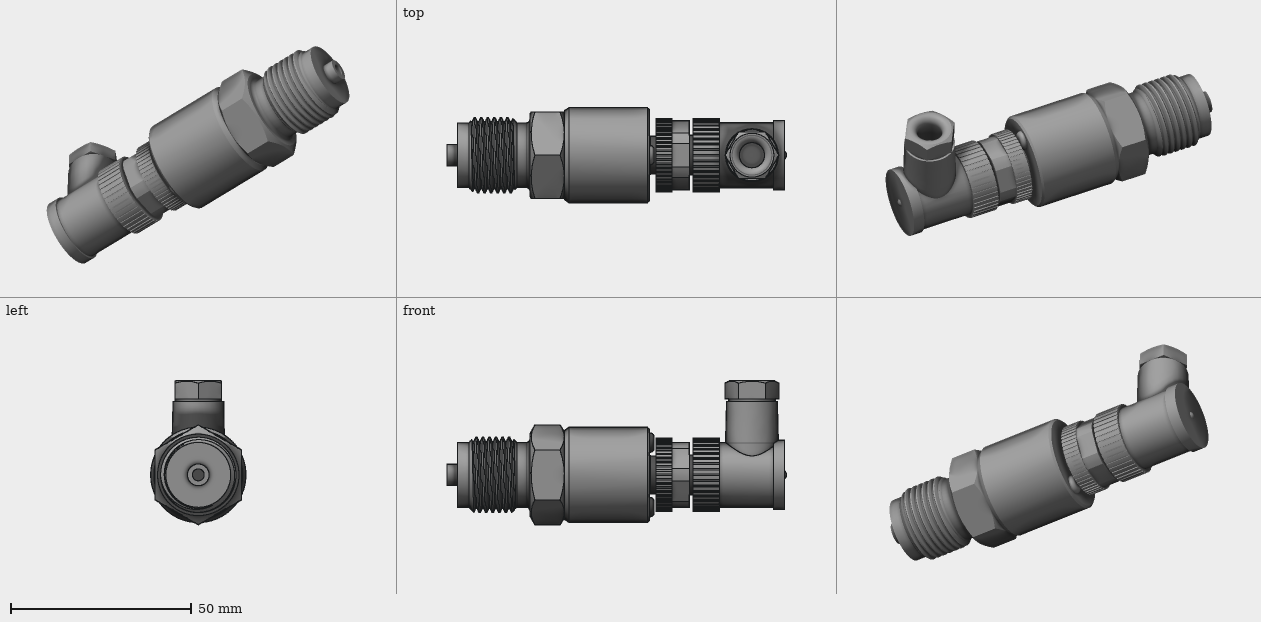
import cadquery as cq
import math


tip_diameter = 6.0
tip_length = 2.9
bore_diameter = 3.3
bore_depth = 11.3
shank_diameter = 18.0
thread_start = 6.1
thread_end = 19.4
thread_core_diameter = 18.7
thread_diameter = 20.9
thread_lead_in = 1.4
thread_pitch = 1.8145
thread_root_width = 1.5
thread_tip_width = 0.3
thread_ridge_overlap = 0.1
thread_ridge_start = 5.5
hex_start = 23.0
hex_end = 32.6
hex_flats = 24.0
hex_left_face_diameter = 22.6
hex_left_chamfer = 1.4
hex_right_face_diameter = 23.9
hex_right_chamfer = 1.2
shank_fillet = 0.9

can_diameter = 26.5
can_end = 56.2
can_front_diameter = 24.7
can_front_chamfer = 1.3
can_rear_chamfer = 0.6
screw_diameter = 5.4
screw_height = 1.3
screw_fillet = 1.1
screw_offset = 9.0
stub_diameter = 10.6
collar_diameter = 10.7
collar_length = 0.3

ring_start = 58.0
knurl_diameter = 20.4
ring_knurl_length = 4.5
ring_knurl_count = 52
knurl_slot_depth = 0.3
knurl_slot_width = 0.5
ring_hex_flats = 18.1
ring_hex_corner_diameter = 19.2
ring_end = 67.3

neck_diameter = 11.1
grip_start = 68.2
grip_end = 75.6
grip_knurl_count = 40
elbow_diameter = 18.1
cap_start = 90.6
cap_end = 93.7
cap_diameter = 19.3
pip_diameter = 2.2
overall_length = 94.3
outlet_x = 84.6
outlet_taper_base = 8.9
outlet_top = 20.4
outlet_base_diameter = 14.7
outlet_top_diameter = 14.1
gland_neck_diameter = 13.0
gland_start = 21.1
gland_top = 26.2
gland_flats = 13.0
gland_face_diameter = 12.2
gland_chamfer = 0.8
cable_hole_diameter = 7.0
cable_hole_depth = 8.5
cable_mouth_diameter = 11.0


def disc_x(start, end, diameter):
    """Cylinder on the main axis from x = start to x = end."""
    return cq.Workplane("YZ", origin=(start, 0, 0)).circle(diameter / 2).extrude(end - start)


def disc_z(start, end, diameter):
    """Cylinder on the outlet axis from z = start to z = end."""
    return cq.Workplane("XY", origin=(outlet_x, 0, start)).circle(diameter / 2).extrude(end - start)


def turned(*profile):
    """Solid of revolution about the main axis through (x, radius) points."""
    points = [(profile[0][0], 0), *profile, (profile[-1][0], 0)]
    return cq.Workplane("XY").polyline(points).close().revolve(360, (0, 0), (1, 0))


def hexagon_corners(flats):
    return flats / math.cos(math.pi / 6)


def make_thread():
    """Right-handed helical ridge on a core, both trimmed to a cylinder with tapered ends."""
    core_radius = thread_core_diameter / 2
    crest_radius = thread_diameter / 2
    envelope = turned(
        (thread_start, shank_diameter / 2),
        (thread_start + thread_lead_in, crest_radius),
        (thread_end - thread_lead_in, crest_radius),
        (thread_end, shank_diameter / 2),
    )
    turns = math.ceil((thread_end - thread_ridge_start) / thread_pitch)
    path = cq.Wire.makeHelix(thread_pitch, turns * thread_pitch, core_radius)
    root_radius = core_radius - thread_ridge_overlap
    tip_radius = crest_radius + thread_ridge_overlap
    ridge = (
        cq.Workplane("XZ")
        .polyline([
            (root_radius, -thread_root_width / 2),
            (tip_radius, -thread_tip_width / 2),
            (tip_radius, thread_tip_width / 2),
            (root_radius, thread_root_width / 2),
        ])
        .close()
        .sweep(cq.Workplane(obj=path), isFrenet=True)
        .rotate((0, 0, 0), (0, 1, 0), 90)
        .translate((thread_ridge_start, 0, 0))
    )
    core = disc_x(thread_start, thread_end, thread_core_diameter).intersect(envelope)
    return core.union(ridge.intersect(envelope))


def make_wrench_hex():
    """Hexagon with corners up and down, both ends turned to cones."""
    length = hex_end - hex_start
    corners = hexagon_corners(hex_flats)
    prism = cq.Workplane("YZ", origin=(hex_start, 0, 0)).transformed(rotate=(0, 0, 90))
    prism = prism.polygon(6, corners).extrude(length)
    cones = turned(
        (hex_start, hex_left_face_diameter / 2),
        (hex_start + hex_left_chamfer, corners / 2),
        (hex_end - hex_right_chamfer, corners / 2),
        (hex_end, hex_right_face_diameter / 2),
    )
    return prism.intersect(cones)


def make_shank_fillet():
    """Concave fillet between the shank and the hexagon face."""
    shank_radius = shank_diameter / 2
    middle = shank_fillet * math.sqrt(0.5)
    return (
        cq.Workplane("XY")
        .moveTo(hex_start - shank_fillet, 0)
        .lineTo(hex_start - shank_fillet, shank_radius)
        .threePointArc(
            (hex_start - shank_fillet + middle, shank_radius + shank_fillet - middle),
            (hex_start, shank_radius + shank_fillet),
        )
        .lineTo(hex_start, 0)
        .close()
        .revolve(360, (0, 0), (1, 0))
    )


def make_screw_head(z):
    head = cq.Workplane("YZ", origin=(can_end, 0, z)).circle(screw_diameter / 2).extrude(screw_height)
    return head.faces(">X").edges().fillet(screw_fillet)


def make_transmitter():
    """Threaded fitting, wrench hexagon, sensor can and its connector stub."""
    can_radius = can_diameter / 2
    can = turned(
        (hex_end, can_front_diameter / 2),
        (hex_end + can_front_chamfer, can_radius),
        (can_end - can_rear_chamfer, can_radius),
        (can_end, can_radius - can_rear_chamfer),
    )
    body = (
        make_thread()
        .union(disc_x(0, tip_length, tip_diameter))
        .union(disc_x(tip_length, thread_start, shank_diameter))
        .union(disc_x(thread_end, hex_start, shank_diameter))
        .union(make_shank_fillet())
        .union(make_wrench_hex())
        .union(can)
        .union(disc_x(can_end, can_end + collar_length, collar_diameter))
        .union(disc_x(can_end, ring_start, stub_diameter))
    )
    for z in (screw_offset, -screw_offset):
        body = body.union(make_screw_head(z))
    return body.cut(disc_x(0, bore_depth, bore_diameter))


def knurled_disc(start, end, count):
    """Disc with evenly spaced lengthwise slots in its rim, one of them pointing up."""
    length = end - start
    slots = (
        cq.Workplane("YZ", origin=(start, 0, 0))
        .polarArray(knurl_diameter / 2, 90, 360, count)
        .rect(2 * knurl_slot_depth, knurl_slot_width)
        .extrude(length)
    )
    return disc_x(start, end, knurl_diameter).cut(slots)


def make_coupling_ring():
    """Knurled ring followed by a rounded hexagon."""
    knurl_end = ring_start + ring_knurl_length
    nut = (
        cq.Workplane("YZ", origin=(knurl_end, 0, 0))
        .polygon(6, hexagon_corners(ring_hex_flats))
        .extrude(ring_end - knurl_end)
        .intersect(disc_x(knurl_end, ring_end, ring_hex_corner_diameter))
    )
    return knurled_disc(ring_start, knurl_end, ring_knurl_count).union(nut)


def make_outlet():
    """Vertical outlet: straight foot inside the elbow, then a slight taper."""
    foot = disc_z(0, outlet_taper_base, outlet_base_diameter)
    taper = (
        cq.Workplane("XY", origin=(outlet_x, 0, outlet_taper_base))
        .circle(outlet_base_diameter / 2)
        .workplane(offset=outlet_top - outlet_taper_base)
        .circle(outlet_top_diameter / 2)
        .loft()
    )
    return foot.union(taper).union(disc_z(outlet_top, gland_start, gland_neck_diameter))


def make_gland_nut():
    """Hexagon with corners toward +X and -X, its top edge turned to a cone."""
    corners = hexagon_corners(gland_flats)
    prism = cq.Workplane("XY", origin=(outlet_x, 0, gland_start)).polygon(6, corners)
    prism = prism.extrude(gland_top - gland_start)
    blank = disc_z(gland_start, gland_top, corners)
    cone_width = (corners - gland_face_diameter) / 2
    return prism.intersect(blank.faces(">Z").chamfer(gland_chamfer, cone_width))


def make_cable_hole():
    """Blind cable hole whose mouth flares out along a quarter round."""
    hole_radius = cable_hole_diameter / 2
    mouth_radius = cable_mouth_diameter / 2
    flare = mouth_radius - hole_radius
    middle = flare * math.sqrt(0.5)
    return (
        cq.Workplane("XZ")
        .moveTo(0, gland_top - cable_hole_depth)
        .lineTo(hole_radius, gland_top - cable_hole_depth)
        .lineTo(hole_radius, gland_top - flare)
        .threePointArc(
            (mouth_radius - middle, gland_top - flare + middle),
            (mouth_radius, gland_top),
        )
        .lineTo(0, gland_top)
        .close()
        .revolve(360, (0, 0), (0, 1))
        .translate((outlet_x, 0, 0))
    )


def make_pip():
    """Shallow dome at the centre of the end cap."""
    return (
        cq.Workplane("XY")
        .moveTo(cap_end, 0)
        .lineTo(overall_length, 0)
        .radiusArc((cap_end, pip_diameter / 2), -pip_diameter * 0.6)
        .close()
        .revolve(360, (0, 0), (1, 0))
    )


def make_elbow_plug():
    """Neck, knurled grip, elbow tube with end cap, and the outlet with its gland nut."""
    return (
        disc_x(ring_end, grip_start, neck_diameter)
        .union(knurled_disc(grip_start, grip_end, grip_knurl_count))
        .union(disc_x(grip_end, cap_start, elbow_diameter))
        .union(disc_x(cap_start, cap_end, cap_diameter))
        .union(make_pip())
        .union(make_outlet())
        .union(make_gland_nut())
        .cut(make_cable_hole())
    )


transmitter = make_transmitter()
coupling_ring = make_coupling_ring()
elbow_plug = make_elbow_plug()

result = cq.Compound.makeCompound([transmitter.val(), coupling_ring.val(), elbow_plug.val()])